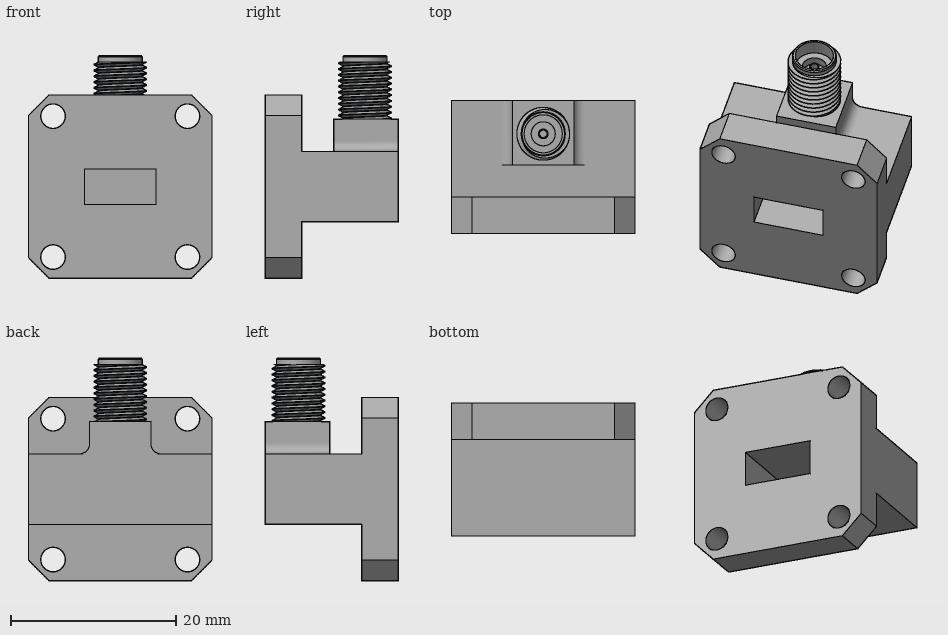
import cadquery as cq
import math

overall_height = 26.97

flange_size = 22.22
flange_thickness = 4.45
flange_corner_cut = 2.5
screw_hole_diameter = 2.95
screw_spacing_x = 16.25
screw_spacing_z = 17.05

body_back = 16.13
body_height = 8.52

waveguide_width = 8.63
waveguide_height = 4.32
waveguide_depth = 12.14

pad_width = 7.42
pad_depth = 7.85
pad_top = 8.17
pad_fillet_radius = 1.25

connector_y = 12.08
connector_top = overall_height - flange_size / 2
core_diameter = 5.35
rim_bevel_width = 0.1
rim_bevel_height = 0.2

thread_diameter = 6.4
thread_pitch = 0.7
thread_base_width = 0.67
thread_crest_flat = 0.08
thread_top = 15.1
thread_overlap = 0.05
thread_embedding = 0.27

bore_diameter = 4.6
bore_depth = 1.9
inner_bore_diameter = 2.9
inner_bore_depth = 1.08
pin_diameter = 1.15
pin_socket_diameter = 0.92


def front_to_back_box(width, depth, height):
    """Box on the waveguide axis running back from the flange face."""
    return cq.Workplane("XY").box(width, depth, height, centered=(True, False, True))


def connector_cylinder(diameter, bottom, top):
    """Upright cylinder on the connector axis."""
    base = cq.Workplane("XY", origin=(0, connector_y, bottom))
    return base.circle(diameter / 2).extrude(top - bottom)


def make_flange():
    """Square plate with cut corners and four screw holes."""
    plate = front_to_back_box(flange_size, flange_thickness, flange_size)
    plate = plate.edges("|Y").chamfer(flange_corner_cut)
    return (
        plate.faces("<Y")
        .workplane(origin=(0, 0, 0))
        .rect(screw_spacing_x, screw_spacing_z, forConstruction=True)
        .vertices()
        .hole(screw_hole_diameter)
    )


def make_pad():
    """Connector seat whose sides flare into the body with concave fillets."""
    body_top = body_height / 2
    fillet_top = body_top + pad_fillet_radius
    side = pad_width / 2
    foot = side + pad_fillet_radius
    arc_offset = pad_fillet_radius * (1 - math.cos(math.radians(45)))
    profile = (
        cq.Workplane("XZ", origin=(0, body_back, 0))
        .moveTo(-side, pad_top)
        .lineTo(side, pad_top)
        .lineTo(side, fillet_top)
        .threePointArc((side + arc_offset, body_top + arc_offset), (foot, body_top))
        .lineTo(foot, 0)
        .lineTo(-foot, 0)
        .lineTo(-foot, body_top)
        .threePointArc((-side - arc_offset, body_top + arc_offset), (-side, fillet_top))
        .close()
    )
    return profile.extrude(pad_depth)


def make_core():
    """Plain connector barrel with a bevelled rim."""
    barrel = connector_cylinder(core_diameter, pad_top, connector_top)
    return barrel.faces(">Z").edges().chamfer(rim_bevel_height, rim_bevel_width)


def make_thread():
    """Right-handed thread ridge, cut flat at the top with a crest ending at +X."""
    root_radius = core_diameter / 2 - thread_overlap
    crest_radius = thread_diameter / 2
    half_base = thread_base_width / 2
    half_crest = thread_crest_flat / 2
    turns_below_top = math.ceil((thread_top - pad_top) / thread_pitch) + 1
    start = thread_top - turns_below_top * thread_pitch
    helix_height = (turns_below_top + 1) * thread_pitch
    helix = cq.Wire.makeHelix(thread_pitch, helix_height, root_radius, center=cq.Vector(0, 0, start))
    tooth = [
        (root_radius, start - half_base),
        (crest_radius, start - half_crest),
        (crest_radius, start + half_crest),
        (root_radius, start + half_base),
    ]
    ridge = cq.Workplane("XZ").polyline(tooth).close().sweep(cq.Workplane(helix), isFrenet=True)
    trim_diameter = thread_diameter + thread_pitch
    trim = connector_cylinder(trim_diameter, pad_top - thread_embedding, thread_top)
    return ridge.translate((0, connector_y, 0)).intersect(trim)


def make_connector_bore():
    """Stepped socket surrounding a hollow centre pin."""
    shelf = connector_top - bore_depth
    floor = shelf - inner_bore_depth
    pin = connector_cylinder(pin_diameter, floor, shelf)
    pin_socket = connector_cylinder(pin_socket_diameter, floor, shelf)
    outer_bore = connector_cylinder(bore_diameter, shelf, connector_top)
    inner_bore = connector_cylinder(inner_bore_diameter, floor, shelf)
    return outer_bore.union(inner_bore.cut(pin)).union(pin_socket)


body = front_to_back_box(flange_size, body_back, body_height)
waveguide = front_to_back_box(waveguide_width, waveguide_depth, waveguide_height)

housing = make_flange().union(body).union(make_pad())
connector = make_core().union(make_thread())
result = housing.union(connector).cut(make_connector_bore()).cut(waveguide)